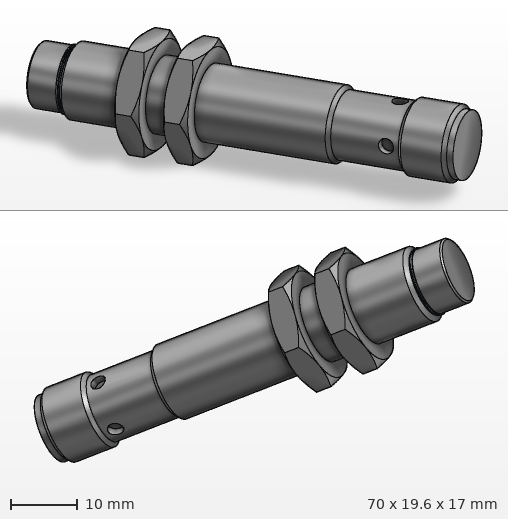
import cadquery as cq
import math

TOTAL_LENGTH = 70.0

THREAD_RADIUS = 6.0
NOSE_RADIUS = 5.2
NOSE_FACE_RADIUS = 4.9
COLLAR_RADIUS = 5.4
GROOVE_RADIUS = 5.1
BARREL_LIP_RADIUS = 5.25
NECK_RADIUS = 5.4

NOSE_BEVEL = 0.3
COLLAR_START = 5.0
COLLAR_WIDTH = 0.3
GROOVE_END = 5.5
BARREL_END = 50.0
PLUG_START = 61.05
PLUG_END = 68.95
BEVEL_LENGTH = 0.6

WINDOW_X = 59.0
WINDOW_DIAMETER = 2.45
WINDOW_DEPTH = 1.3
WINDOW_COUNT = 4

NUT_SIDES = 6
NUT_ACROSS_FLATS = 17.0
NUT_THICKNESS = 4.0
NUT_BEVEL_ANGLE = 30.0
NUT_START = 15.95
NUT_PITCH = 8.0
NUT_COUNT = 2


def make_sensor():
    """Turned sensor body with its blind indicator windows."""
    collar_end = COLLAR_START + COLLAR_WIDTH
    profile = [
        (0, 0),
        (0, NOSE_FACE_RADIUS),
        (NOSE_BEVEL, NOSE_RADIUS),
        (COLLAR_START, NOSE_RADIUS),
        (COLLAR_START, COLLAR_RADIUS),
        (collar_end, COLLAR_RADIUS),
        (collar_end, GROOVE_RADIUS),
        (GROOVE_END, GROOVE_RADIUS),
        (GROOVE_END, BARREL_LIP_RADIUS),
        (GROOVE_END + BEVEL_LENGTH, THREAD_RADIUS),
        (BARREL_END - BEVEL_LENGTH, THREAD_RADIUS),
        (BARREL_END, NECK_RADIUS),
        (PLUG_START, NECK_RADIUS),
        (PLUG_START + BEVEL_LENGTH, THREAD_RADIUS),
        (PLUG_END - BEVEL_LENGTH, THREAD_RADIUS),
        (PLUG_END, NECK_RADIUS),
        (TOTAL_LENGTH, NECK_RADIUS),
        (TOTAL_LENGTH, 0),
    ]
    sensor = cq.Workplane("XY").polyline(profile).close().revolve(360, (0, 0, 0), (1, 0, 0))
    window = (
        cq.Workplane("XY", origin=(WINDOW_X, 0, NECK_RADIUS - WINDOW_DEPTH))
        .circle(WINDOW_DIAMETER / 2)
        .extrude(THREAD_RADIUS)
    )
    for index in range(WINDOW_COUNT):
        angle = index * 360 / WINDOW_COUNT
        sensor = sensor.cut(window.rotate((0, 0, 0), (1, 0, 0), angle))
    return sensor


def make_nut(start):
    """Hexagon nut along X, both faces bevelled at the corners, bored to fit the barrel."""
    flat_radius = NUT_ACROSS_FLATS / 2
    corner_radius = flat_radius / math.cos(math.pi / NUT_SIDES)
    bevel_length = (corner_radius - flat_radius) * math.tan(math.radians(NUT_BEVEL_ANGLE))
    end = start + NUT_THICKNESS

    hexagon = (
        cq.Workplane("YZ", origin=(start, 0, 0))
        .polygon(NUT_SIDES, 2 * corner_radius)
        .circle(THREAD_RADIUS)
        .extrude(NUT_THICKNESS)
    )
    envelope = (
        cq.Workplane("XY")
        .polyline([
            (start, 0),
            (start, flat_radius),
            (start + bevel_length, corner_radius),
            (end - bevel_length, corner_radius),
            (end, flat_radius),
            (end, 0),
        ])
        .close()
        .revolve(360, (0, 0, 0), (1, 0, 0))
    )
    return hexagon.intersect(envelope)


sensor = make_sensor()
nuts = [make_nut(NUT_START + index * NUT_PITCH) for index in range(NUT_COUNT)]

result = cq.Compound.makeCompound([sensor.val(), *[nut.val() for nut in nuts]])